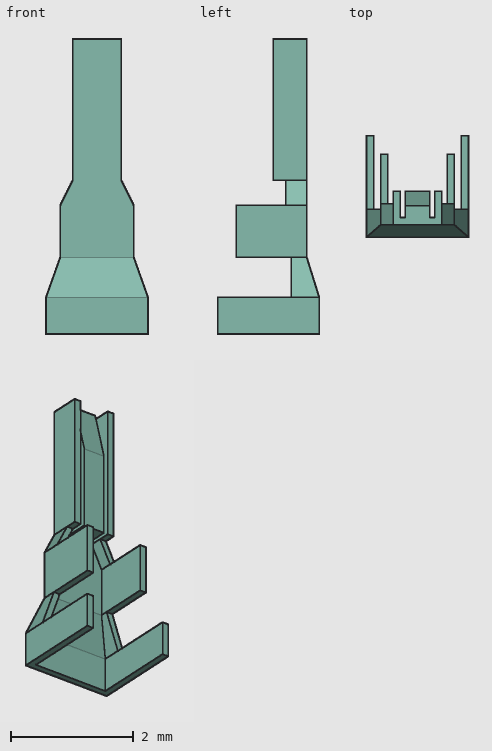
import cadquery as cq

base_top = 0.6
middle_bottom = 1.25
middle_top = 2.1
upper_bottom = 2.5
total_height = 4.8

base_half_width = 0.83
middle_half_width = 0.6
upper_half_width = 0.4

narrow_front = 0.2
base_back = 1.65
lower_taper_back = 0.455
middle_back = 1.355
upper_taper_back = 0.545
upper_back = 0.75

sheet_thickness = 0.12

tongue_half_width = 0.2
tongue_flat_back = 0.515
tongue_ramp_drop = 0.865


def channel_outline(half_width, front, back):
    """Corner points of a U-shaped sheet section that is open toward +Y."""
    inner_half = half_width - sheet_thickness
    inner_front = front + sheet_thickness
    return [
        (-half_width, front),
        (half_width, front),
        (half_width, back),
        (inner_half, back),
        (inner_half, inner_front),
        (-inner_half, inner_front),
        (-inner_half, back),
        (-half_width, back),
    ]


def channel(half_width, front, back, bottom, top):
    """Straight length of channel."""
    outline = channel_outline(half_width, front, back)
    return cq.Workplane("XY").workplane(offset=bottom).polyline(outline).close().extrude(top - bottom)


def taper(lower_half_width, lower_front, upper_half, upper_front, back, bottom, top):
    """Length of channel that narrows upward and keeps its back edge upright."""
    lower_outline = channel_outline(lower_half_width, lower_front, back)
    upper_outline = channel_outline(upper_half, upper_front, back)
    return (
        cq.Workplane("XY").workplane(offset=bottom)
        .polyline(lower_outline).close()
        .workplane(offset=top - bottom)
        .polyline(upper_outline).close()
        .loft(ruled=True)
    )


def tongue():
    """Block with a flat top and a steep ramp down its back edge."""
    profile = [
        (narrow_front, upper_bottom),
        (upper_back, upper_bottom),
        (upper_back, total_height - tongue_ramp_drop),
        (tongue_flat_back, total_height),
        (narrow_front, total_height),
    ]
    return cq.Workplane("YZ").polyline(profile).close().extrude(tongue_half_width, both=True)


base = channel(base_half_width, 0, base_back, 0, base_top)
lower_taper = taper(
    base_half_width, 0, middle_half_width, narrow_front,
    lower_taper_back, base_top, middle_bottom,
)
middle = channel(middle_half_width, narrow_front, middle_back, middle_bottom, middle_top)
upper_taper = taper(
    middle_half_width, narrow_front, upper_half_width, narrow_front,
    upper_taper_back, middle_top, upper_bottom,
)
upper = channel(upper_half_width, narrow_front, upper_back, upper_bottom, total_height)

result = base.union(lower_taper).union(middle).union(upper_taper).union(upper).union(tongue())